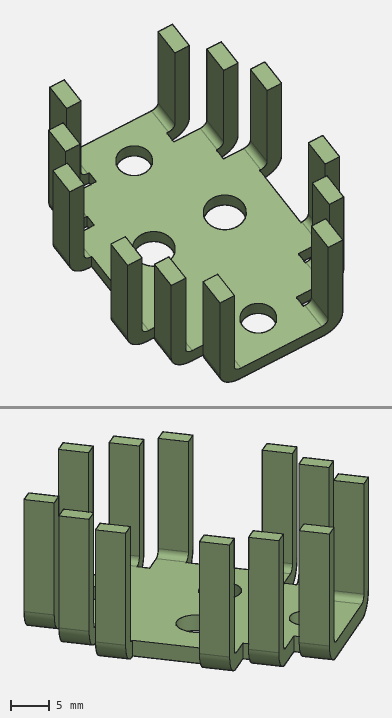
import cadquery as cq

LENGTH = 41.4
HEIGHT = 19.0
THICKNESS = 2.25

FINGER_WIDTH = 4.1
FINGER_PITCH = 5.8
OUTER_BEND_RADIUS = 3.0
INNER_BEND_RADIUS = 1.0

FINGER_ROWS = [
    (9.5, 6.0),
    (13.35, 10.0),
    (16.4, 13.0),
]

MOUNTING_HOLE_DIAMETER = 4.8
MOUNTING_HOLE_SPACING = 30.2

LEAD_HOLE_DIAMETER = 5.6
LEAD_HOLE_SPACING = 11.0
LEAD_HOLE_X = -1.7


def row_outer_x(row):
    """Distance from the centre to the outer side of a finger row."""
    return LENGTH / 2 - row * FINGER_PITCH


def base_plate():
    """Flat plate that widens in steps from its ends to its middle."""
    plate = None
    for row, (_, plate_half_width) in enumerate(FINGER_ROWS):
        step = cq.Workplane("XY").box(
            2 * row_outer_x(row), 2 * plate_half_width, THICKNESS, centered=(True, True, False)
        )
        plate = step if plate is None else plate.union(step)
    return plate


def bent_strip(half_span, center_x):
    """U-shaped strip across the plate, forming two opposite fingers and their bends."""
    strip = (
        cq.Workplane("XY")
        .box(FINGER_WIDTH, 2 * half_span, HEIGHT, centered=(True, True, False))
        .edges("|X and <Z")
        .fillet(OUTER_BEND_RADIUS)
    )
    channel = (
        cq.Workplane("XY")
        .workplane(offset=THICKNESS)
        .box(FINGER_WIDTH, 2 * (half_span - THICKNESS), HEIGHT, centered=(True, True, False))
        .edges("|X and <Z")
        .fillet(INNER_BEND_RADIUS)
    )
    return strip.cut(channel).translate((center_x, 0, 0))


def add_fingers(body):
    """Join the bent strips at both ends of the plate."""
    for row, (half_span, _) in enumerate(FINGER_ROWS):
        center_x = row_outer_x(row) - FINGER_WIDTH / 2
        for side in (-1, 1):
            body = body.union(bent_strip(half_span, side * center_x))
    return body


def through_holes(diameter, centers):
    """Cutters that pass through the plate at the given centres."""
    return cq.Workplane("XY").pushPoints(centers).circle(diameter / 2).extrude(THICKNESS)


def cut_holes(body):
    """Cut the mounting holes and the lead holes."""
    mounting_x = MOUNTING_HOLE_SPACING / 2
    lead_y = LEAD_HOLE_SPACING / 2
    mounting_centers = [(-mounting_x, 0), (mounting_x, 0)]
    lead_centers = [(LEAD_HOLE_X, -lead_y), (LEAD_HOLE_X, lead_y)]
    body = body.cut(through_holes(MOUNTING_HOLE_DIAMETER, mounting_centers))
    return body.cut(through_holes(LEAD_HOLE_DIAMETER, lead_centers))


result = cut_holes(add_fingers(base_plate()))